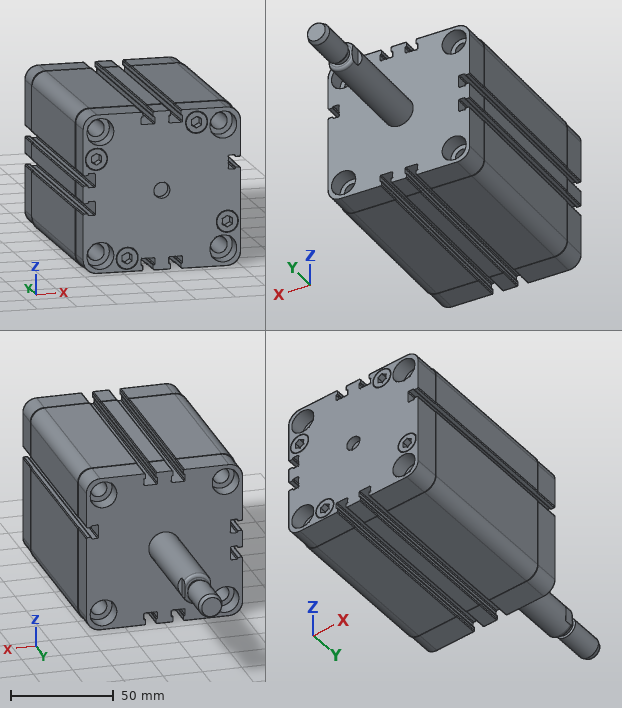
import cadquery as cq
import math


TOTAL_LENGTH = 191.5
BODY_LENGTH = 110.0
CAP_LENGTH = 14.0

BARREL_SIZE = 80.0
CAP_SIZE = 79.4
CORNER_RADIUS = 7.0

SECTIONS = [
    (CAP_SIZE, 0, CAP_LENGTH),
    (BARREL_SIZE, CAP_LENGTH, BODY_LENGTH - 2 * CAP_LENGTH),
    (CAP_SIZE, BODY_LENGTH - CAP_LENGTH, CAP_LENGTH),
]

SLOT_OFFSET = 7.0
PORT_SIDE_SLOT_OFFSET = 12.0
SLOT_NECK_WIDTH = 5.2
SLOT_INNER_WIDTH = 7.0
SLOT_LIP = 2.8
SLOT_DEPTH = 6.5
SLOT_CORNER_CHAMFER = 0.5
SLOT_MOUTH_CHAMFER = 0.5

MOUNT_OFFSET = 31.0
MOUNT_HOLE_DIAMETER = 8.38
MOUNT_BORE_DIAMETER = 13.5
MOUNT_BORE_DEPTH = 8.5

SCREW_NEAR_OFFSET = 17.5
SCREW_FAR_OFFSET = 33.0
SCREW_HEAD_DIAMETER = 10.5
SCREW_RECESS_DIAMETER = 11.1
SCREW_HEAD_HEIGHT = 6.0
SOCKET_ACROSS_FLATS = 5.0
SOCKET_DEPTH = 5.0

CENTRE_HOLE_DIAMETER = 8.0
CENTRE_HOLE_DEPTH = 4.0

ROD_RADIUS = 16.0 / 2
ROD_END_ROUND = 1.7
STUD_RADIUS = 12.0 / 2
STUD_LENGTH = 24.0
STUD_CHAMFER_LENGTH = 2.5
STUD_CHAMFER_DEPTH = 1.0
UNDERCUT_RADIUS = 10.0 / 2
UNDERCUT_LENGTH = 3.0
UNDERCUT_TAPER = 0.6
FLAT_ACROSS = 13.0
FLAT_LENGTH = 5.5

SHOULDER_Y = TOTAL_LENGTH - STUD_LENGTH


def plane_at(y):
    """Sketch plane across the axis: local x is X, local y is Z, extrusion runs to +Y."""
    return cq.Workplane(cq.Plane(origin=(0, y, 0), xDir=(1, 0, 0), normal=(0, -1, 0)))


def square_block(size, start, length):
    """Rounded square prism from start to start + length."""
    block = plane_at(start).rect(size, size).extrude(-length)
    return block.edges("|Y").fillet(CORNER_RADIUS)


def cylinder(diameter, points, start, length):
    """Equal cylinders along Y centred on the given (x, z) points."""
    return plane_at(start).pushPoints(points).circle(diameter / 2).extrude(-length)


def make_body():
    """Barrel with an end cap at each end."""
    rear_cap, barrel, front_cap = [square_block(*section) for section in SECTIONS]
    return barrel.union(rear_cap).union(front_cap)


def slot_mouth(offset, surface, start, length):
    """Cutter for the chamfered slot edges along one section whose top lies at z = surface."""
    half_neck = SLOT_NECK_WIDTH / 2
    half_mouth = half_neck + SLOT_MOUTH_CHAMFER
    outline = [
        (offset - half_neck, surface - SLOT_MOUTH_CHAMFER),
        (offset + half_neck, surface - SLOT_MOUTH_CHAMFER),
        (offset + half_mouth, surface),
        (offset - half_mouth, surface),
    ]
    return plane_at(start).polyline(outline).close().extrude(-length)


def t_slot(offset, angle):
    """T-slot cutter at x = offset in the top side, turned by angle about the Y axis."""
    top = BARREL_SIZE / 2
    neck = plane_at(0).center(offset, top - SLOT_DEPTH / 2).rect(SLOT_NECK_WIDTH, SLOT_DEPTH)
    inner_height = SLOT_DEPTH - SLOT_LIP
    inner_z = top - SLOT_DEPTH + inner_height / 2
    inner = plane_at(0).center(offset, inner_z).rect(SLOT_INNER_WIDTH, inner_height)
    chamber = inner.extrude(-BODY_LENGTH).edges("|Y").chamfer(SLOT_CORNER_CHAMFER)
    cutter = neck.extrude(-BODY_LENGTH).union(chamber)
    for surface_size, start, length in SECTIONS:
        cutter = cutter.union(slot_mouth(offset, surface_size / 2, start, length))
    return cutter.rotate((0, 0, 0), (0, 1, 0), angle)


def cut_slots(body):
    """Two slots in the top, bottom and -X sides, a single one in the +X side."""
    for angle in (0, 180, -90):
        for offset in (-SLOT_OFFSET, SLOT_OFFSET):
            body = body.cut(t_slot(offset, angle))
    return body.cut(t_slot(-PORT_SIDE_SLOT_OFFSET, 90))


def cut_mounting_holes(body):
    """Through holes in the corners with a counterbore in each cap."""
    corners = [(x, z) for x in (-MOUNT_OFFSET, MOUNT_OFFSET) for z in (-MOUNT_OFFSET, MOUNT_OFFSET)]
    body = body.cut(cylinder(MOUNT_HOLE_DIAMETER, corners, 0, BODY_LENGTH))
    for start in (0, BODY_LENGTH - MOUNT_BORE_DEPTH):
        body = body.cut(cylinder(MOUNT_BORE_DIAMETER, corners, start, MOUNT_BORE_DEPTH))
    return body


def cut_cap_screws(body):
    """Clearance ring and hexagon socket of each flush cap screw in the rear cap."""
    near, far = SCREW_NEAR_OFFSET, SCREW_FAR_OFFSET
    centres = [(near, far), (far, -near), (-near, -far), (-far, near)]
    recess = cylinder(SCREW_RECESS_DIAMETER, centres, 0, SCREW_HEAD_HEIGHT)
    ring = recess.cut(cylinder(SCREW_HEAD_DIAMETER, centres, 0, SCREW_HEAD_HEIGHT))
    body = body.cut(ring)
    across_corners = SOCKET_ACROSS_FLATS / math.cos(math.pi / 6)
    for x, z in centres:
        socket = plane_at(0).polygon(6, across_corners).extrude(-SOCKET_DEPTH)
        upright = socket.rotate((0, 0, 0), (0, 1, 0), 30)
        body = body.cut(upright.translate((x, 0, z)))
    return body


def make_rod():
    """Turned rod revolved about the Y axis, with wrench flats behind the shoulder."""
    undercut_end = SHOULDER_Y + UNDERCUT_LENGTH
    rod = (
        cq.Workplane("XY")
        .moveTo(0, BODY_LENGTH - CAP_LENGTH)
        .lineTo(ROD_RADIUS, BODY_LENGTH - CAP_LENGTH)
        .lineTo(ROD_RADIUS, SHOULDER_Y - ROD_END_ROUND)
        .radiusArc((ROD_RADIUS - ROD_END_ROUND, SHOULDER_Y), -ROD_END_ROUND)
        .lineTo(UNDERCUT_RADIUS, SHOULDER_Y)
        .lineTo(UNDERCUT_RADIUS, undercut_end - UNDERCUT_TAPER)
        .lineTo(STUD_RADIUS, undercut_end)
        .lineTo(STUD_RADIUS, TOTAL_LENGTH - STUD_CHAMFER_LENGTH)
        .lineTo(STUD_RADIUS - STUD_CHAMFER_DEPTH, TOTAL_LENGTH)
        .lineTo(0, TOTAL_LENGTH)
        .close()
        .revolve(360, (0, 0, 0), (0, 1, 0))
    )
    flat_x = FLAT_ACROSS / 2
    flat_depth = ROD_RADIUS - flat_x
    flat_end = SHOULDER_Y - FLAT_LENGTH
    flat = (
        cq.Workplane("XY")
        .moveTo(flat_x, SHOULDER_Y)
        .lineTo(flat_x, flat_end)
        .lineTo(ROD_RADIUS, flat_end - flat_depth)
        .lineTo(ROD_RADIUS, SHOULDER_Y)
        .close()
        .extrude(ROD_RADIUS, both=True)
    )
    return rod.cut(flat).cut(flat.mirror("YZ"))


body = cut_slots(make_body())
body = cut_mounting_holes(body)
body = cut_cap_screws(body)
body = body.cut(cylinder(CENTRE_HOLE_DIAMETER, [(0, 0)], 0, CENTRE_HOLE_DEPTH))
result = body.union(make_rod())